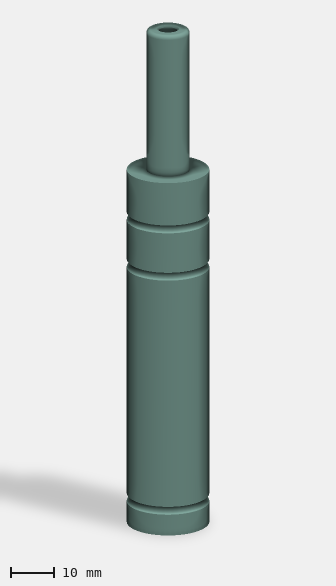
import cadquery as cq
import math

total_height = 120.0
body_height = 85.8
body_diameter = 19.0
rod_diameter = 10.0
rod_top_fillet = 1.0

groove_radius = 1.0
groove_heights = [6.0, 63.0, 74.5]

hole_diameter = 4.2
hole_mouth_chamfer = 0.42
hole_depth = 12.0
drill_point_angle = 118.0


def make_body():
    """Cylinder standing on the XY plane."""
    return cq.Workplane("XY").circle(body_diameter / 2).extrude(body_height)


def make_rod():
    """Thin rod on top of the body, with a rounded upper rim."""
    rod = (
        cq.Workplane("XY")
        .workplane(offset=body_height)
        .circle(rod_diameter / 2)
        .extrude(total_height - body_height)
    )
    return rod.faces(">Z").edges().fillet(rod_top_fillet)


def make_groove_cutter(height):
    """Ring of round section, centred on the body surface."""
    return cq.Workplane(cq.Solid.makeTorus(body_diameter / 2, groove_radius, cq.Vector(0, 0, height)))


def make_hole_cutter():
    """Drilled hole with a chamfered mouth, ending in a conical drill point."""
    hole_radius = hole_diameter / 2
    point_height = hole_radius / math.tan(math.radians(drill_point_angle / 2))
    hole_floor = total_height - hole_depth
    return (
        cq.Workplane("XZ")
        .moveTo(0, total_height)
        .lineTo(hole_radius + hole_mouth_chamfer, total_height)
        .lineTo(hole_radius, total_height - hole_mouth_chamfer)
        .lineTo(hole_radius, hole_floor)
        .lineTo(0, hole_floor - point_height)
        .close()
        .revolve(360, (0, 0, 0), (0, 1, 0))
    )


result = make_body().union(make_rod())
for groove_height in groove_heights:
    result = result.cut(make_groove_cutter(groove_height))
result = result.cut(make_hole_cutter())